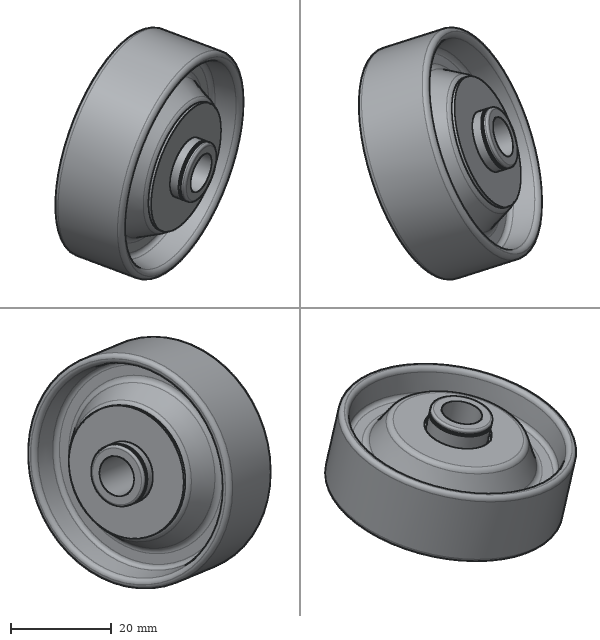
import cadquery as cq
import math

wheel_radius = 24.0
wheel_width = 15.75
web_thickness = 3.0

rim_inner_radius = 22.0
rim_draft = 7.0
boss_radius = 14.0
boss_draft = 27.0
outer_lip_fillet = 1.0
inner_lip_fillet = 1.1
rim_root_fillet = 1.0
boss_fillet = 1.45

cover_radius = 13.55
cover_projection = 0.6
cover_embed = 0.2

hub_length = 23.8
hub_radius = 6.3
hub_fillet = 0.55
bore_radius = 4.1
clearance_radius = 6.8
clearance_depth = 0.95
groove_depth = 0.2
groove_offset = 1.05
groove_floor_width = 0.2
groove_ramp_width = 0.25

half_width = wheel_width / 2
half_hub = hub_length / 2
cover_face = half_width + cover_projection


def revolve_profile(points):
    """Turn a closed (x, radius) outline about the X axis."""
    return cq.Workplane("XY").polyline(points).close().revolve(360, (0, 0, 0), (1, 0, 0))


def cylinder(start, end, radius):
    """Solid cylinder along X between two stations."""
    return cq.Workplane("YZ").workplane(offset=start).circle(radius).extrude(end - start)


def fillet_circles(body, station, radius, size):
    """Round the circular edges of one radius at X = -station and X = +station."""
    def matches(edge):
        box = edge.BoundingBox()
        same_radius = math.isclose(box.ymax, radius, abs_tol=0.005)
        same_station = math.isclose(abs(box.center.x), station, abs_tol=0.005)
        return edge.geomType() == "CIRCLE" and same_radius and same_station

    edges = [edge for edge in body.edges().vals() if matches(edge)]
    return body.newObject(edges).fillet(size)


def make_pocket(side):
    """Ring-shaped pocket with drafted walls, opening towards side (-1 or +1)."""
    return revolve_profile([
        (side * half_width, boss_radius),
        (side * half_width, rim_inner_radius),
        (side * half_web, rim_root_radius),
        (side * half_web, boss_root_radius),
    ])


def make_groove(side):
    """Shallow hub groove: square wall towards the hub end, ramp towards the wheel."""
    wall = half_hub - groove_offset
    floor_end = wall - groove_floor_width
    ramp_end = floor_end - groove_ramp_width
    return revolve_profile([
        (side * wall, hub_radius),
        (side * wall, hub_radius - groove_depth),
        (side * floor_end, hub_radius - groove_depth),
        (side * ramp_end, hub_radius),
    ])


half_web = web_thickness / 2
pocket_depth = half_width - half_web
rim_root_radius = rim_inner_radius - pocket_depth * math.tan(math.radians(rim_draft))
boss_root_radius = boss_radius + pocket_depth * math.tan(math.radians(boss_draft))

wheel = cylinder(-half_width, half_width, wheel_radius)
for side in (-1, 1):
    wheel = wheel.cut(make_pocket(side))

wheel = fillet_circles(wheel, half_width, wheel_radius, outer_lip_fillet)
wheel = fillet_circles(wheel, half_width, rim_inner_radius, inner_lip_fillet)
wheel = fillet_circles(wheel, half_web, rim_root_radius, rim_root_fillet)
wheel = fillet_circles(wheel, half_web, boss_root_radius, boss_fillet)
wheel = fillet_circles(wheel, half_width, boss_radius, boss_fillet)

wheel = wheel.union(cylinder(half_width - cover_embed, cover_face, cover_radius))
wheel = wheel.cut(cylinder(-half_width, clearance_depth - half_width, clearance_radius))

hub = cylinder(-half_hub, half_hub, hub_radius)
hub = fillet_circles(hub, half_hub, hub_radius, hub_fillet)
for side in (-1, 1):
    hub = hub.cut(make_groove(side))

result = wheel.union(hub).cut(cylinder(-half_hub, half_hub, bore_radius))